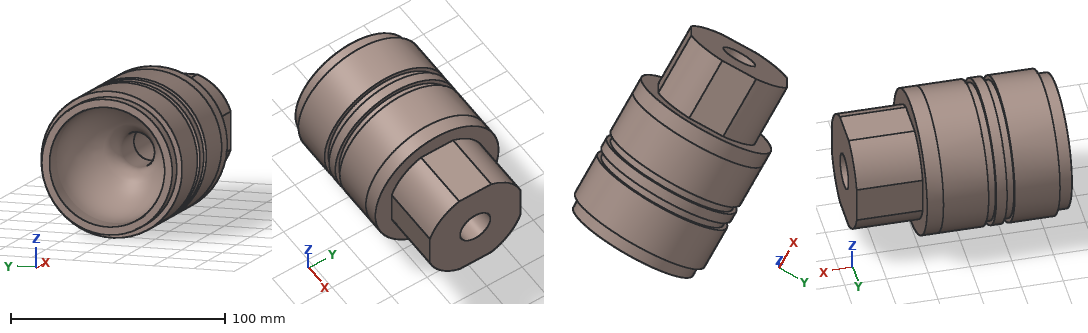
import cadquery as cq
import math

TOTAL_LENGTH = 101.6
NOSE_LENGTH = 6.4
JOINT_X = 62.2
FLANGE_THICKNESS = 7.8

OUTER_RADIUS = 34.8
NOSE_RADIUS = 32.2
SHANK_ACROSS_FLATS = 51.2
SHANK_FLAT_WIDTH = 18.1

GROOVE_RADIUS = 32.7
GROOVE_WIDTH = 3.8
LAND_WIDTH = 5.1
SLEEVE_MIDDLE_X = (NOSE_LENGTH + JOINT_X) / 2
GROOVE_OFFSET = (LAND_WIDTH + GROOVE_WIDTH) / 2

MOUTH_RADIUS = 28.4
MOUTH_DEPTH = 10.1
BORE_RADIUS = 8.5

THROAT_START_RADIUS = MOUTH_RADIUS / 2
BOWL_SWEEP = math.acos(THROAT_START_RADIUS / MOUTH_RADIUS)
THROAT_START_X = MOUTH_DEPTH + MOUTH_RADIUS * math.sin(BOWL_SWEEP)

THROAT_ARC_RADIUS = (THROAT_START_RADIUS - BORE_RADIUS) / (1 - math.cos(BOWL_SWEEP))
THROAT_END_X = THROAT_START_X + THROAT_ARC_RADIUS * math.sin(BOWL_SWEEP)


def bowl_point(angle):
    """Point of the bowl profile, at an angle from the mouth end of the bowl."""
    x = MOUTH_DEPTH + MOUTH_RADIUS * math.sin(angle)
    return x, MOUTH_RADIUS * math.cos(angle)


def throat_point(angle):
    """Point of the throat profile, at an angle from the bore end of the throat."""
    x = THROAT_END_X - THROAT_ARC_RADIUS * math.sin(angle)
    return x, BORE_RADIUS + THROAT_ARC_RADIUS * (1 - math.cos(angle))


def plane_at(x):
    """Workplane across the part's axis, facing +X."""
    return cq.Workplane("YZ", origin=(x, 0, 0))


def make_liner():
    """Tube with the nose at its front and the funnel-shaped passage inside."""
    profile = (
        cq.Workplane("XY")
        .moveTo(0, MOUTH_RADIUS)
        .lineTo(0, NOSE_RADIUS)
        .lineTo(JOINT_X, NOSE_RADIUS)
        .lineTo(JOINT_X, BORE_RADIUS)
        .lineTo(THROAT_END_X, BORE_RADIUS)
        .threePointArc(throat_point(BOWL_SWEEP / 2), throat_point(BOWL_SWEEP))
        .threePointArc(bowl_point(BOWL_SWEEP / 2), bowl_point(0))
        .close()
    )
    return profile.revolve(360, (0, 0, 0), (1, 0, 0))


def make_sleeve():
    """Grooved sleeve around the liner, from the nose to the flange."""
    sleeve = (
        plane_at(NOSE_LENGTH)
        .circle(OUTER_RADIUS)
        .circle(NOSE_RADIUS)
        .extrude(JOINT_X - NOSE_LENGTH)
    )
    for side in (-1, 1):
        groove_start = SLEEVE_MIDDLE_X + side * GROOVE_OFFSET - GROOVE_WIDTH / 2
        groove = plane_at(groove_start).circle(OUTER_RADIUS).circle(GROOVE_RADIUS).extrude(GROOVE_WIDTH)
        sleeve = sleeve.cut(groove)
    return sleeve


def make_end_fitting():
    """Flange and round shank with four wrench flats, bored through."""
    base = plane_at(JOINT_X)
    length = TOTAL_LENGTH - JOINT_X
    shank_radius = math.hypot(SHANK_ACROSS_FLATS / 2, SHANK_FLAT_WIDTH / 2)
    flats = base.rect(SHANK_ACROSS_FLATS, SHANK_ACROSS_FLATS).extrude(length)
    shank = base.circle(shank_radius).extrude(length).intersect(flats)
    flange = base.circle(OUTER_RADIUS).extrude(FLANGE_THICKNESS)
    bore = base.circle(BORE_RADIUS).extrude(length)
    return shank.union(flange).cut(bore)


liner = make_liner()
sleeve = make_sleeve()
end_fitting = make_end_fitting()

result = cq.Compound.makeCompound([liner.val(), sleeve.val(), end_fitting.val()])